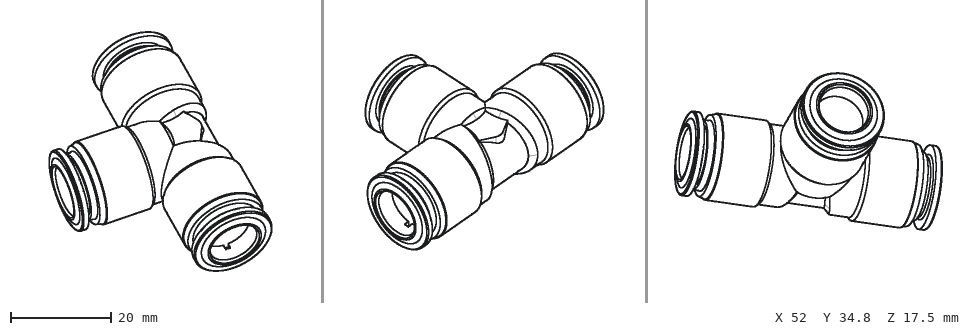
import cadquery as cq
import math

UP = (0, 0, 1)
PORT_REACH = 26.0

NOSE_TIP_RADIUS = 5.8
NOSE_BASE_RADIUS = 7.0
FLANGE_RADIUS = 8.5
FLANGE_FRONT = 0.6
FLANGE_BACK = 1.95
FLANGE_EDGE = 0.25
SLEEVE_RADIUS = 6.15
SLEEVE_FLARE = 0.45

COLLAR_FRONT = 3.15
COLLAR_FRONT_RADIUS = 6.9
COLLAR_BACK_RADIUS = 7.15
BODY_FRONT = 4.45
BODY_FRONT_RADIUS = 8.25
LEAD_END = 5.7
LEAD_END_RADIUS = 8.6
BODY_RADIUS = 8.75
BODY_EDGE = BODY_RADIUS - LEAD_END_RADIUS
BODY_BACK = 15.8
NECK_RADIUS = 8.15
NECK_START = 16.5

BORE_RADIUS = 5.1
BORE_MOUTH_RADIUS = 5.4
BORE_MOUTH_DEPTH = 0.6
BORE_DEPTH = 4.4
SLIT_WIDTH = 1.0
SLIT_LENGTH = 1.1

NECK_CORNER = 3.45
RUN_END_TILT = 15.0
BEVEL_LENGTH = 1.2
BEVEL_ANGLE = 50.0
WEB_RADIUS = 7.0

PAD_TOP = 7.0
PAD_SIDE_X = 4.2
PAD_SIDE_Y = 2.1
PAD_PEAK_Y = 4.35
PAD_PEAK_ROUND = 2.25
PAD_HEIGHT = 1.8
PAD_DRAFT = 15.0


def port_plane(direction):
    """Plane at a port tip: local x is +Z, the normal points inward along the port axis."""
    tip = direction.multiply(PORT_REACH)
    inward = direction.multiply(-1)
    return cq.Plane(origin=tip.toTuple(), xDir=UP, normal=inward.toTuple())


def revolve_on(plane, profile):
    """Revolve (radius, distance) points about the normal of the plane."""
    section_normal = plane.xDir.cross(plane.zDir).toTuple()
    section_plane = cq.Plane(origin=plane.origin.toTuple(), xDir=UP, normal=section_normal)
    return cq.Workplane(section_plane).polyline(profile).close().revolve(360, (0, 0), (0, 1))


def port_shell(plane):
    """Solid of revolution from the port tip to the start of the neck."""
    profile = [
        (0, 0),
        (NOSE_TIP_RADIUS, 0),
        (NOSE_BASE_RADIUS, FLANGE_FRONT),
        (FLANGE_RADIUS - FLANGE_EDGE, FLANGE_FRONT),
        (FLANGE_RADIUS, FLANGE_FRONT + FLANGE_EDGE),
        (FLANGE_RADIUS, FLANGE_BACK),
        (SLEEVE_RADIUS + SLEEVE_FLARE, FLANGE_BACK),
        (SLEEVE_RADIUS, FLANGE_BACK + SLEEVE_FLARE),
        (SLEEVE_RADIUS, COLLAR_FRONT),
        (COLLAR_FRONT_RADIUS, COLLAR_FRONT),
        (COLLAR_BACK_RADIUS, BODY_FRONT),
        (BODY_FRONT_RADIUS, BODY_FRONT),
        (LEAD_END_RADIUS, LEAD_END),
        (BODY_RADIUS, LEAD_END + BODY_EDGE),
        (BODY_RADIUS, BODY_BACK),
        (NECK_RADIUS, NECK_START),
        (0, NECK_START),
    ]
    return revolve_on(plane, profile)


def port_bore(plane):
    """Blind tube bore with a conical mouth."""
    profile = [
        (0, 0),
        (BORE_MOUTH_RADIUS, 0),
        (BORE_RADIUS, BORE_MOUTH_DEPTH),
        (BORE_RADIUS, BORE_DEPTH),
        (0, BORE_DEPTH),
    ]
    return revolve_on(plane, profile)


def collet_slit(plane):
    """Short slit through the collet wall, ending level with the bore floor."""
    slit = cq.Workplane(plane).workplane(offset=BORE_DEPTH - SLIT_LENGTH)
    slit = slit.center(-SLEEVE_RADIUS / 2, 0).rect(SLEEVE_RADIUS, SLIT_WIDTH)
    return slit.extrude(SLIT_LENGTH)


def neck(plane, end_plane):
    """Neck cylinder cut off at end_plane, followed by a bevel tapering inward."""
    cylinder = cq.Workplane(plane).workplane(offset=NECK_START).circle(NECK_RADIUS).extrude(PORT_REACH)
    beyond = cq.Workplane(end_plane).circle(2 * PORT_REACH).extrude(2 * PORT_REACH)
    tilt_cosine = end_plane.zDir.dot(plane.zDir)
    end_section = cq.Workplane(end_plane).ellipse(NECK_RADIUS, NECK_RADIUS / tilt_cosine)
    bevel = end_section.extrude(BEVEL_LENGTH, taper=BEVEL_ANGLE)
    return cylinder.cut(beyond).union(bevel)


def run_end_plane(side):
    """Tilted end plane of the run neck on side -1 or +1, centred on the X axis."""
    tilt = math.radians(RUN_END_TILT)
    axis_x = NECK_CORNER * (1 + math.tan(tilt))
    inward = (-side * math.cos(tilt), math.sin(tilt), 0)
    return cq.Plane(origin=(side * axis_x, 0, 0), xDir=UP, normal=inward)


def branch_end_plane():
    """Square end plane of the branch neck."""
    return cq.Plane(origin=(0, -NECK_CORNER, 0), xDir=UP, normal=(0, 1, 0))


def web():
    """Thinner cylinder along X filling the space between the necks."""
    half_length = 2 * NECK_CORNER
    return cq.Workplane("YZ").circle(WEB_RADIUS).extrude(half_length, both=True)


def pad():
    """Flat-topped pad on the web, with drafted walls and a rounded peak at the rear."""
    outline = [
        (-PAD_SIDE_X, PAD_SIDE_Y),
        (-NECK_CORNER, -NECK_CORNER),
        (NECK_CORNER, -NECK_CORNER),
        (PAD_SIDE_X, PAD_SIDE_Y),
        (0, PAD_PEAK_Y),
        (-PAD_SIDE_X, PAD_SIDE_Y),
    ]
    top_face = cq.Sketch().polygon(outline).vertices(">Y").fillet(PAD_PEAK_ROUND)
    top = cq.Workplane("XY").workplane(offset=PAD_TOP).placeSketch(top_face)
    return top.extrude(-PAD_HEIGHT, taper=-PAD_DRAFT)


LEFT = cq.Vector(-1, 0, 0)
RIGHT = cq.Vector(1, 0, 0)
BRANCH = cq.Vector(0, -1, 0)
ports = [
    (port_plane(LEFT), run_end_plane(-1)),
    (port_plane(RIGHT), run_end_plane(1)),
    (port_plane(BRANCH), branch_end_plane()),
]

result = web().union(pad())
for tip_plane, end_plane in ports:
    result = result.union(port_shell(tip_plane)).union(neck(tip_plane, end_plane))
for tip_plane, _ in ports:
    result = result.cut(port_bore(tip_plane)).cut(collet_slit(tip_plane))